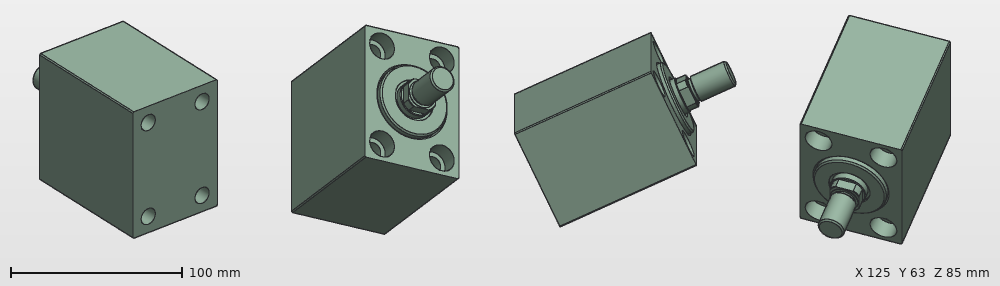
import cadquery as cq


housing_length = 88.0
housing_width = 63.0
housing_height = 85.0
edge_chamfer = 0.8

screw_spacing_y = 40.0
screw_spacing_z = 63.0
screw_hole_diameter = 10.5
counterbore_diameter = 16.5
counterbore_depth = 11.0

gland_diameter = 45.0
gland_protrusion = 3.0
gland_depth = 20.0
gland_chamfer = 1.0
bore_chamfer = 1.0

wiper_diameter = 25.5
wiper_recess = 1.5
wiper_length = 5.0
wiper_front = wiper_recess - gland_protrusion

rod_diameter = 22.0
rod_shoulder = 6.0
rod_shoulder_chamfer = 0.5
wrench_diameter = 21.0
wrench_flats = 18.0
wrench_front = 12.0
wrench_chamfer = 0.4
collar_diameter = 17.0
collar_length = 0.5
neck_diameter = 14.0
neck_cone_length = 0.5
thread_diameter = 16.0
thread_length = 22.5
thread_chamfer = 1.0
overall_length = 125.0
rod_tip = overall_length - housing_length


def cylinder(diameter, x_start, x_end):
    """Cylinder on the rod axis between two places along X."""
    return cq.Workplane("YZ", origin=(x_start, 0, 0)).circle(diameter / 2).extrude(x_end - x_start)


def make_housing():
    block = (
        cq.Workplane("YZ")
        .rect(housing_width, housing_height)
        .extrude(housing_length)
        .edges("|X")
        .chamfer(edge_chamfer)
    )
    screw_holes = (
        cq.Workplane("YZ")
        .rect(screw_spacing_y, screw_spacing_z, forConstruction=True)
        .vertices()
    )
    through_holes = screw_holes.circle(screw_hole_diameter / 2).extrude(housing_length)
    counterbores = screw_holes.circle(counterbore_diameter / 2).extrude(counterbore_depth)
    bore = cylinder(gland_diameter, 0, gland_depth)
    bored_block = block.cut(through_holes).cut(counterbores).cut(bore)
    mouth_edge = cq.selectors.RadiusNthSelector(-1)
    return bored_block.faces("<X").edges(mouth_edge).chamfer(bore_chamfer)


def make_gland():
    body = cylinder(gland_diameter, -gland_protrusion, gland_depth).faces("<X").chamfer(gland_chamfer)
    rod_bore = cylinder(rod_diameter, -gland_protrusion, gland_depth)
    wiper_seat = cylinder(wiper_diameter, -gland_protrusion, wiper_front + wiper_length)
    return body.cut(rod_bore).cut(wiper_seat)


def make_wiper():
    wiper_back = wiper_front + wiper_length
    ring = cylinder(wiper_diameter, wiper_front, wiper_back)
    return ring.cut(cylinder(rod_diameter, wiper_front, wiper_back))


def make_wrench_section():
    """Four flats on a round section with a chamfered front edge."""
    round_section = cylinder(wrench_diameter, -wrench_front, -rod_shoulder).faces("<X").chamfer(wrench_chamfer)
    square = (
        cq.Workplane("YZ", origin=(-wrench_front, 0, 0))
        .rect(wrench_flats, wrench_flats)
        .extrude(wrench_front - rod_shoulder)
    )
    return round_section.intersect(square)


def make_threaded_end():
    """Plain thread cylinder, its runout cone, and the neck and collar behind it."""
    neck_radius = neck_diameter / 2
    thread_radius = thread_diameter / 2
    thread_end = -rod_tip + thread_length
    collar_front = -wrench_front - collar_length
    thread_and_neck = (
        cq.Workplane("XY")
        .moveTo(-rod_tip, 0)
        .lineTo(-rod_tip, thread_radius - thread_chamfer)
        .lineTo(-rod_tip + thread_chamfer, thread_radius)
        .lineTo(thread_end, thread_radius)
        .lineTo(thread_end + neck_cone_length, neck_radius)
        .lineTo(collar_front, neck_radius)
        .lineTo(collar_front, 0)
        .close()
        .revolve(360, (0, 0, 0), (1, 0, 0))
    )
    return thread_and_neck.union(cylinder(collar_diameter, collar_front, -wrench_front))


def make_rod():
    shank = cylinder(rod_diameter, -rod_shoulder, gland_depth).faces("<X").chamfer(rod_shoulder_chamfer)
    return shank.union(make_wrench_section()).union(make_threaded_end())


housing = make_housing()
gland = make_gland()
wiper = make_wiper()
rod = make_rod()

result = cq.Compound.makeCompound([housing.val(), gland.val(), wiper.val(), rod.val()])